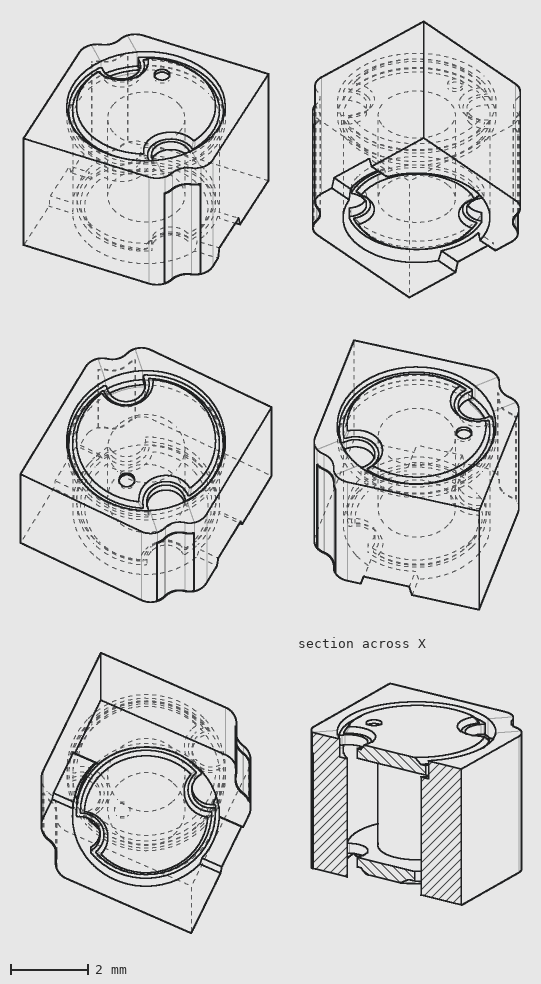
import cadquery as cq
import math

SIDE = 4.8
HEIGHT = 3.8
HALF = SIDE / 2
SCALLOP_RADIUS = 0.5
SCALLOP_INSET = 0.275
ROUND_RADIUS = 0.5
SEAT_RADIUS = 2.05
SEAT_DEPTH = 0.5
BORE_RADIUS = 1.9

SLOT_Y = -0.1
SLOT_MOUTH = 1.38
SLOT_ROOF = 1.225
SLOT_HEIGHT = 0.3

CORNER_WIDTH = 1.0
TERMINAL_TOP_GAP = 0.595
TERMINAL_HEIGHT = HEIGHT - TERMINAL_TOP_GAP
TERMINAL_THICKNESS = 0.02

CORE_BOTTOM = 0.195
HUB_RADIUS = 1.0
FLANGE_RADIUS = 2.0
FLANGE_GAP = FLANGE_RADIUS - BORE_RADIUS
LOWER_FLANGE_RADIUS = BORE_RADIUS - FLANGE_GAP
FLANGE_THICKNESS = 0.425
PLATEAU_HEIGHT = 0.15
RIM_WIDTH = 0.1
SLOPE_WIDTH = 0.1
NOTCH_RADIUS = CORNER_WIDTH / 2
NOTCH_DISTANCE = 1.795
MOUTH_ROUND = 0.05
PLATEAU_ROUND = 0.045
DIMPLE_RADIUS = 0.2
DIMPLE_X = -0.105
DIMPLE_Y = 1.25
DIMPLE_DEPTH = 0.1

CORNER_ANGLES = (135, -45)


def disc(radius, bottom, top):
    """Upright cylinder on the part axis between two heights."""
    return cq.Workplane("XY").workplane(offset=bottom).circle(radius).extrude(top - bottom)


def corner_cutter(depth=0):
    """Prism outside the S-shaped outline of the -X +Y corner, the outline moved inward by depth."""
    round_radius = ROUND_RADIUS - depth
    scallop_radius = SCALLOP_RADIUS + depth
    round_centre = SCALLOP_INSET + math.sqrt(
        (ROUND_RADIUS + SCALLOP_RADIUS) ** 2 - (ROUND_RADIUS - SCALLOP_INSET) ** 2
    )
    joint_angle = math.atan2(SCALLOP_INSET - round_centre, SCALLOP_INSET - ROUND_RADIUS)
    mid_angle = (joint_angle - math.pi) / 2
    groove_bottom = SCALLOP_INSET + scallop_radius / math.sqrt(2)

    def on_round(angle):
        return (
            ROUND_RADIUS + round_radius * math.cos(angle),
            round_centre + round_radius * math.sin(angle),
        )

    def place(across, down):
        return (across - HALF, HALF - down)

    def mirrored(point):
        return place(point[1], point[0])

    joint = on_round(joint_angle)
    round_mid = on_round(mid_angle)
    return (
        cq.Workplane("XY")
        .moveTo(*place(depth, depth))
        .lineTo(*place(depth, round_centre))
        .threePointArc(place(*round_mid), place(*joint))
        .threePointArc(place(groove_bottom, groove_bottom), mirrored(joint))
        .threePointArc(mirrored(round_mid), mirrored((depth, round_centre)))
        .close()
        .extrude(HEIGHT)
    )


def make_shell():
    """Grooved square block with its stepped bore, with its corners still whole."""
    shell = cq.Workplane("XY").rect(SIDE, SIDE).extrude(HEIGHT)
    cutter = corner_cutter()
    shell = shell.cut(cutter).cut(cutter.rotate((0, 0, 0), (0, 0, 1), 180))
    shell = shell.cut(disc(BORE_RADIUS, 0, HEIGHT))
    return shell.cut(disc(SEAT_RADIUS, HEIGHT - SEAT_DEPTH, HEIGHT))


def radial_bar(angle, width, bottom, top):
    """Bar from the axis out through one grooved corner."""
    return (
        cq.Workplane("XY")
        .box(SIDE, width, top - bottom, centered=(False, True, False))
        .rotate((0, 0, 0), (0, 0, 1), angle)
        .translate((0, 0, bottom))
    )


def bottom_slot():
    """Trapezoidal passage along X."""
    return (
        cq.Workplane("YZ")
        .polyline([
            (SLOT_Y - SLOT_MOUTH / 2, 0),
            (SLOT_Y + SLOT_MOUTH / 2, 0),
            (SLOT_Y + SLOT_ROOF / 2, SLOT_HEIGHT),
            (SLOT_Y - SLOT_ROOF / 2, SLOT_HEIGHT),
        ])
        .close()
        .extrude(HALF, both=True)
    )


def make_terminal(angle):
    """Layer of even thickness following the outer face of one grooved corner."""
    layer = corner_cutter(TERMINAL_THICKNESS).rotate((0, 0, 0), (0, 0, 1), angle - CORNER_ANGLES[0])
    return make_shell().intersect(layer).intersect(radial_bar(angle, CORNER_WIDTH, 0, TERMINAL_HEIGHT))


def make_housing():
    """Shell with terminal recesses; the walls above them keep their own faces."""
    shell = make_shell()
    housing = shell.cut(bottom_slot())
    upper_bars = [
        radial_bar(angle, CORNER_WIDTH, TERMINAL_HEIGHT, HEIGHT) for angle in CORNER_ANGLES
    ]
    for angle, upper_bar in zip(CORNER_ANGLES, upper_bars):
        housing = housing.cut(make_terminal(angle)).cut(upper_bar)
    for upper_bar in upper_bars:
        housing = housing.union(shell.intersect(upper_bar), clean=False)
    return housing


def notch(angle, radius, height, growth=0):
    """U-shaped notch opening outward; its walls lean out by growth over the height."""
    taper = -math.degrees(math.atan2(growth, height))
    return (
        cq.Workplane("XY")
        .moveTo(SIDE, radius)
        .lineTo(NOTCH_DISTANCE, radius)
        .threePointArc((NOTCH_DISTANCE - radius, 0), (NOTCH_DISTANCE, -radius))
        .lineTo(SIDE, -radius)
        .close()
        .extrude(height, taper=taper)
        .rotate((0, 0, 0), (0, 0, 1), angle)
    )


def make_flange(radius):
    """Notched flange standing on Z = 0, plateau upward."""
    rim_height = FLANGE_THICKNESS - PLATEAU_HEIGHT
    plateau_radius = radius - RIM_WIDTH
    rim = disc(radius, 0, rim_height)
    slope = math.degrees(math.atan2(SLOPE_WIDTH, PLATEAU_HEIGHT))
    plateau = cq.Workplane("XY").circle(plateau_radius).extrude(PLATEAU_HEIGHT, taper=slope)
    for angle in CORNER_ANGLES:
        rim = rim.cut(notch(angle, NOTCH_RADIUS, rim_height))
        plateau = plateau.cut(notch(angle, NOTCH_RADIUS + RIM_WIDTH, PLATEAU_HEIGHT, SLOPE_WIDTH))
    mouth_edges = rim.edges("|Z").filter(
        lambda edge: math.hypot(edge.Center().x, edge.Center().y) > plateau_radius
    )
    rim = mouth_edges.fillet(MOUTH_ROUND)
    plateau = plateau.edges("not(<Z or >Z)").edges("not(#Z)").fillet(PLATEAU_ROUND)
    return rim.union(plateau.translate((0, 0, rim_height)))


def make_core():
    """Hub between two flanges whose plateaus face outward."""
    upper_base = HEIGHT - FLANGE_THICKNESS
    lower_base = CORE_BOTTOM + FLANGE_THICKNESS
    upper = make_flange(FLANGE_RADIUS).translate((0, 0, upper_base))
    lower = make_flange(LOWER_FLANGE_RADIUS).mirror("XY").translate((0, 0, lower_base))
    dimple = disc(DIMPLE_RADIUS, HEIGHT - DIMPLE_DEPTH, HEIGHT).translate((DIMPLE_X, DIMPLE_Y, 0))
    return disc(HUB_RADIUS, lower_base, upper_base).union(upper).union(lower).cut(dimple)


housing = make_housing()
core = make_core()
terminals = [make_terminal(angle) for angle in CORNER_ANGLES]

result = cq.Compound.makeCompound([
    housing.val(),
    core.val(),
    *[terminal.val() for terminal in terminals],
])